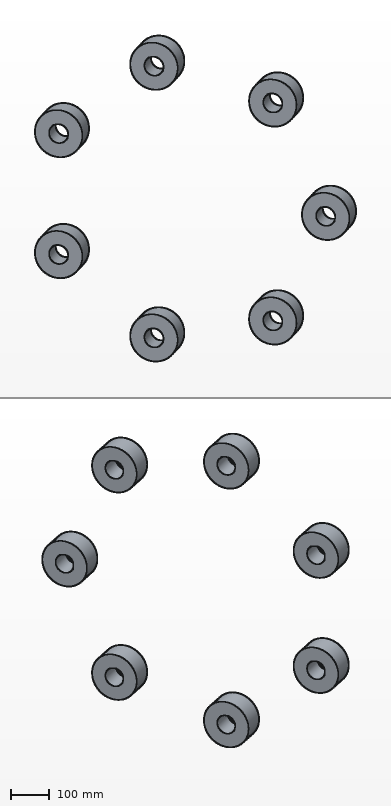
import cadquery as cq
import math

overall_height = 860.0
roller_count = 7
roller_diameter = 127.0
bore_diameter = 51.0
roller_length = 64.5

step_angle = 2 * math.pi / roller_count
extreme_angle = 2 * step_angle
ring_radius = (overall_height - roller_diameter) / (2 * math.sin(extreme_angle))


def make_roller(angle):
    """Bored roller parallel to Y, placed on the ring at an angle from +X toward +Z."""
    roller = (
        cq.Workplane("XZ", origin=(ring_radius, roller_length / 2, 0))
        .circle(roller_diameter / 2)
        .circle(bore_diameter / 2)
        .extrude(roller_length)
    )
    return roller.rotate((0, 0, 0), (0, 1, 0), -math.degrees(angle))


rollers = [make_roller(index * step_angle) for index in range(roller_count)]

result = cq.Compound.makeCompound([roller.val() for roller in rollers])